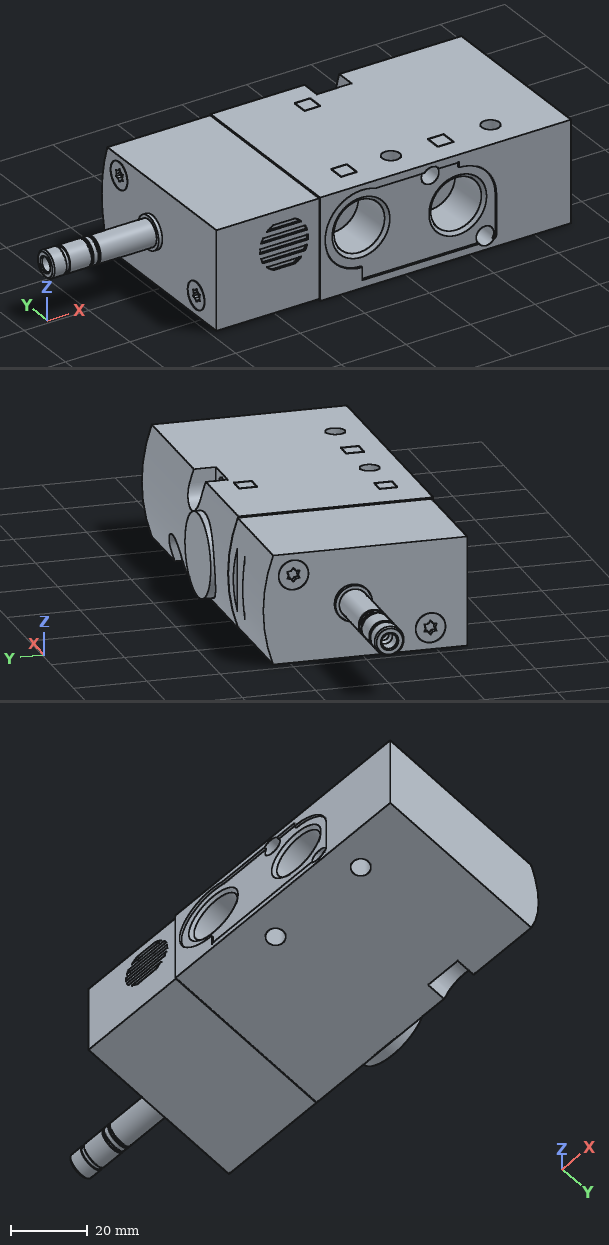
import cadquery as cq
import math


total_length = 142.8
body_start = 65.0
body_height = 31.0
crown_y = 56.0
crown_edge_y = 53.3

port_1_x = 78.1
port_1_z = 2.3
port_2_x = 108.1
port_2_z = 0.0
port_diameter = 15.7
port_mouth_diameter = 17.8
port_chamfer = 0.9
port_depth = 14.3
gasket_radius = 11.5
gasket_half_height = 13.1
gasket_depth = 0.7
gasket_corner_radius = 1.4

long_hole_diameter = 5.4
long_hole_z = 11.5
long_hole_centres = [(99.5, long_hole_z), (116.5, -long_hole_z)]
counterbore_diameter = 10.7
counterbore_floor_y = 47.3

cross_hole_diameter = 5.3
cross_hole_xs = [92.7, 123.5]
cross_hole_y = 9.0
outlet_x = 89.1
label_size = 4.9
label_depth = 0.1
label_centres = [(port_1_x, cross_hole_y), (port_2_x, cross_hole_y), (outlet_x, 44.0)]

boss_diameter = 2 * gasket_radius
boss_z = -2.7
boss_y = 57.0
boss_root_y = 51.4

cap_start = 33.1
cap_inset = 0.4
cap_crown_y = 56.1
flat_x = 55.8
flat_length = 6.9
flat_mouth_length = 8.5
flat_depth = 0.9

grille_x = 54.1
grille_z = 4.5
grille_diameter = 15.0
grille_pitch = 3.0
grille_slot_height = grille_pitch / 2
grille_slot_offsets = [step * grille_pitch for step in range(-2, 3)]
grille_depth = 0.7

stem_y = 31.7
stem_diameter = 8.0
stem_chamfer = 0.4
collar_diameter = 10.0
collar_start = 32.0
groove_diameter = 7.1
grooves = [(4.1, 1.1), (11.9, 0.7), (14.0, 0.7)]
bore_diameter = 4.1
bore_mouth_diameter = 4.9
bore_depth = 4.3
pilot_diameter = 2.5
pilot_depth = 7.1
orifice_diameter = 0.9
orifice_depth = 8.5

screw_centres = [(47.8, 9.1), (10.4, -9.1)]
screw_diameter = 8.1
screw_height = 4.3
screw_sink = 0.1
star_point_diameter = 3.9
star_root_diameter = 2.5
star_points = 6
star_depth = 1.4


def cylinder_x(y, z, start, length, diameter):
    """Cylinder along +X from a start plane."""
    return cq.Workplane("YZ", origin=(start, y, z)).circle(diameter / 2).extrude(length)


def cylinder_y(x, z, start, length, diameter):
    """Cylinder along +Y from a start plane."""
    return cq.Workplane("XZ", origin=(x, start, z)).circle(diameter / 2).extrude(-length)


def cone_x(y, z, start, length, start_diameter, end_diameter):
    """Cone frustum along +X."""
    cone = cq.Solid.makeCone(
        start_diameter / 2, end_diameter / 2, length, cq.Vector(start, y, z), cq.Vector(1, 0, 0)
    )
    return cq.Workplane(cone)


def crowned_block(start, end, top_y):
    """Block of the full body height with a +Y side arched up to top_y."""
    half = body_height / 2
    return (
        cq.Workplane("YZ", origin=(start, 0, 0))
        .moveTo(0, -half)
        .lineTo(crown_edge_y, -half)
        .threePointArc((top_y, 0), (crown_edge_y, half))
        .lineTo(0, half)
        .close()
        .extrude(end - start)
    )


def gasket_recess():
    """Recess whose outline follows both ports and the two mounting holes."""
    top = gasket_half_height
    tangent_x = port_1_x + math.sqrt(gasket_radius**2 - (top - port_1_z) ** 2)
    right = port_2_x + gasket_radius
    diagonal = gasket_radius * math.sqrt(0.5)
    return (
        cq.Workplane("XZ")
        .moveTo(port_1_x, -top)
        .lineTo(port_1_x, port_1_z - gasket_radius)
        .threePointArc((port_1_x - gasket_radius, port_1_z), (tangent_x, top))
        .lineTo(port_2_x, top)
        .lineTo(port_2_x, port_2_z + gasket_radius)
        .threePointArc((port_2_x + diagonal, port_2_z + diagonal), (right, port_2_z))
        .lineTo(right, -top + gasket_corner_radius)
        .radiusArc((right - gasket_corner_radius, -top), gasket_corner_radius)
        .close()
        .extrude(-gasket_depth)
    )


def port(x, z):
    """Blind port bore with a chamfered mouth on the recess floor."""
    mouth = cq.Solid.makeCone(
        port_mouth_diameter / 2,
        port_diameter / 2,
        port_chamfer,
        cq.Vector(x, gasket_depth, z),
        cq.Vector(0, 1, 0),
    )
    return cylinder_y(x, z, 0, port_depth, port_diameter).union(cq.Workplane(mouth))


def open_counterbore(x, z):
    """Counterbore on the crowned side, widened into a slot up to the nearer flat side."""
    length = boss_y - counterbore_floor_y
    side_z = math.copysign(body_height / 2, z)
    slot = (
        cq.Workplane("XZ", origin=(x, counterbore_floor_y, (z + side_z) / 2))
        .rect(counterbore_diameter, abs(side_z - z))
        .extrude(-length)
    )
    return cylinder_y(x, z, counterbore_floor_y, length, counterbore_diameter).union(slot)


def make_valve_body():
    body = crowned_block(body_start, total_length, crown_y)
    boss_length = boss_y - boss_root_y
    body = body.union(cylinder_y(outlet_x, boss_z, boss_root_y, boss_length, boss_diameter))

    body = body.cut(gasket_recess())
    for x, z in [(port_1_x, port_1_z), (port_2_x, port_2_z)]:
        body = body.cut(port(x, z))

    for x, z in long_hole_centres:
        body = body.cut(cylinder_y(x, z, 0, boss_y, long_hole_diameter))
        body = body.cut(open_counterbore(x, z))

    top_plane = cq.Workplane("XY", origin=(0, 0, body_height / 2))
    cross_holes = (
        top_plane.pushPoints([(x, cross_hole_y) for x in cross_hole_xs])
        .circle(cross_hole_diameter / 2)
        .extrude(-body_height)
    )
    labels = top_plane.pushPoints(label_centres).rect(label_size, label_size).extrude(-label_depth)
    return body.cut(cross_holes).cut(labels)


def grille():
    """Level slots clipped to a circle."""
    slots = (
        cq.Workplane("XZ", origin=(grille_x, cap_inset, grille_z))
        .pushPoints([(0, offset) for offset in grille_slot_offsets])
        .rect(grille_diameter, grille_slot_height)
        .extrude(-grille_depth)
    )
    return slots.intersect(cylinder_y(grille_x, grille_z, cap_inset, grille_depth, grille_diameter))


def crown_flat():
    """Shallow flat with sloping ends across the top of the crown."""
    floor_y = cap_crown_y - flat_depth
    return (
        cq.Workplane("XY")
        .moveTo(flat_x - flat_length / 2, floor_y)
        .lineTo(flat_x + flat_length / 2, floor_y)
        .lineTo(flat_x + flat_mouth_length / 2, cap_crown_y)
        .lineTo(flat_x - flat_mouth_length / 2, cap_crown_y)
        .close()
        .extrude(body_height / 2, both=True)
    )


def make_stem():
    stem = cylinder_x(stem_y, 0, 0, cap_start, stem_diameter).faces("<X").chamfer(stem_chamfer)
    stem = stem.union(cylinder_x(stem_y, 0, collar_start, cap_start - collar_start, collar_diameter))
    for start, width in grooves:
        ring = cylinder_x(stem_y, 0, start, width, stem_diameter)
        stem = stem.cut(ring.cut(cylinder_x(stem_y, 0, start, width, groove_diameter)))

    mouth_length = (bore_mouth_diameter - bore_diameter) / 2
    cone_length = (bore_diameter - pilot_diameter) / 2
    stem = stem.cut(cone_x(stem_y, 0, 0, mouth_length, bore_mouth_diameter, bore_diameter))
    stem = stem.cut(cylinder_x(stem_y, 0, 0, bore_depth, bore_diameter))
    stem = stem.cut(cone_x(stem_y, 0, bore_depth, cone_length, bore_diameter, pilot_diameter))
    stem = stem.cut(cylinder_x(stem_y, 0, 0, pilot_depth, pilot_diameter))
    return stem.cut(cylinder_x(stem_y, 0, 0, orifice_depth, orifice_diameter))


def make_pilot_cap():
    cap_length = body_start - cap_start
    cap_depth = cap_crown_y - cap_inset
    cap_height = body_height - 2 * cap_inset
    envelope = (
        cq.Workplane("XY", origin=(cap_start, cap_inset, 0))
        .box(cap_length, cap_depth, cap_height, centered=(False, False, True))
    )
    cap = crowned_block(cap_start, body_start, cap_crown_y).intersect(envelope)
    cap = cap.cut(crown_flat()).cut(grille())
    for y, z in screw_centres:
        cap = cap.cut(cylinder_x(y, z, cap_start, screw_sink + screw_height, screw_diameter))
    return cap.union(make_stem())


def make_screw(y, z):
    """Round screw head with a six-pointed star socket."""
    face_x = cap_start + screw_sink
    outline = []
    for index in range(2 * star_points):
        radius = (star_root_diameter if index % 2 else star_point_diameter) / 2
        angle = math.pi / 2 + index * math.pi / star_points
        outline.append((radius * math.cos(angle), radius * math.sin(angle)))
    socket = cq.Workplane("YZ", origin=(face_x, y, z)).polyline(outline).close().extrude(star_depth)
    return cylinder_x(y, z, face_x, screw_height, screw_diameter).cut(socket)


valve_body = make_valve_body()
pilot_cap = make_pilot_cap()
screws = [make_screw(y, z) for y, z in screw_centres]

result = cq.Compound.makeCompound([valve_body.val(), pilot_cap.val(), *[screw.val() for screw in screws]])